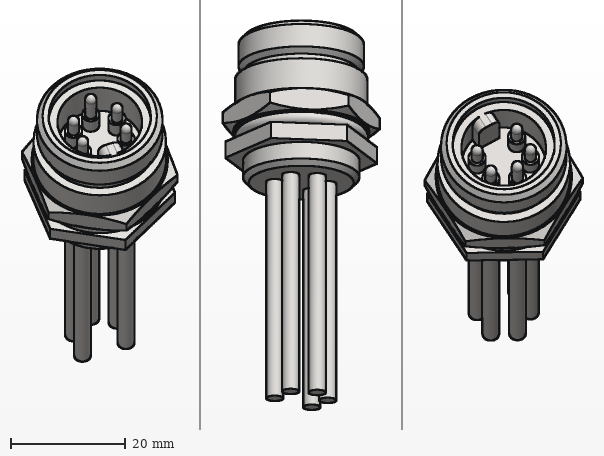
import cadquery as cq
import math

TOTAL_HEIGHT = 66.6
SHELL_HEIGHT = 26.6
WIRE_LENGTH = TOTAL_HEIGHT - SHELL_HEIGHT
TAIL_LENGTH = 4.05
FLANGE_THICKNESS = 3.0
SEAL_THICKNESS = 2.4
NUT_THICKNESS = 4.0
THREAD_ABOVE_NUT = 5.6
NECK_LENGTH = 1.4

FLANGE_BOTTOM = WIRE_LENGTH + TAIL_LENGTH
FLANGE_TOP = FLANGE_BOTTOM + FLANGE_THICKNESS
NUT_BOTTOM = FLANGE_TOP + SEAL_THICKNESS
NUT_TOP = NUT_BOTTOM + NUT_THICKNESS
THREAD_TOP = NUT_TOP + THREAD_ABOVE_NUT
RIM_BOTTOM = THREAD_TOP + NECK_LENGTH

TAIL_RADIUS = 10.2
THREAD_RADIUS = 11.6
NECK_RADIUS = 10.0
RIM_RADIUS = 11.0
EDGE_CHAMFER = 1.0
SEAL_OUTER_RADIUS = 11.7
SEAL_BEAD_RADIUS = SEAL_THICKNESS / 2
SEAL_CORE_RADIUS = SEAL_OUTER_RADIUS - SEAL_BEAD_RADIUS

HEXAGON_SIDES = 6
HALF_SIDE_ANGLE = 180 / HEXAGON_SIDES
FLANGE_ACROSS_FLATS = 23.2
NUT_ACROSS_FLATS = 24.0
NUT_FACE_RADIUS = 11.9
NUT_CHAMFER_ANGLE = 28.0

RECESS_RADIUS = 8.9
RECESS_DEPTH = 1.65
SOCKET_RADIUS = 7.4
SOCKET_DEPTH = 8.65
RECESS_FLOOR = TOTAL_HEIGHT - RECESS_DEPTH
SOCKET_FLOOR = TOTAL_HEIGHT - SOCKET_DEPTH

PLACE_COUNT = 6
KEY_ANGLE = -30.0
CONTACT_CIRCLE_RADIUS = 4.65
PIN_RADIUS = 1.0
PIN_TIP = RECESS_FLOOR
EARTH_PIN_EXTRA = 1.6
EARTH_PLACE = PLACE_COUNT // 2
WIRE_RADIUS = 3.0 / 2
COLLAR_RADIUS = WIRE_RADIUS
COLLAR_DEPTH = 5.5
COLLAR_TOP = TOTAL_HEIGHT - COLLAR_DEPTH

KEY_INNER_DISTANCE = 5.0
KEY_WIDTH = 4.2
KEY_EDGE_RADIUS = 1.45
KEY_HEIGHT = RECESS_FLOOR - SOCKET_FLOOR


def cylinder(radius, bottom, top):
    return cq.Workplane("XY").workplane(offset=bottom).circle(radius).extrude(top - bottom)


def across_corners(across_flats):
    return across_flats / math.cos(math.radians(HALF_SIDE_ANGLE))


def hexagon(across_flats, bottom, thickness):
    """Hexagon prism with flats facing +X and -X."""
    prism = cq.Workplane("XY").polygon(HEXAGON_SIDES, across_corners(across_flats)).extrude(thickness)
    return prism.rotate((0, 0, 0), (0, 0, 1), HALF_SIDE_ANGLE).translate((0, 0, bottom))


def make_shell_blank():
    """Turned outside of the shell, with the bulging sealing bead."""
    return (
        cq.Workplane("XZ")
        .moveTo(0, WIRE_LENGTH)
        .lineTo(TAIL_RADIUS - EDGE_CHAMFER, WIRE_LENGTH)
        .lineTo(TAIL_RADIUS, WIRE_LENGTH + EDGE_CHAMFER)
        .lineTo(TAIL_RADIUS, FLANGE_TOP)
        .lineTo(SEAL_CORE_RADIUS, FLANGE_TOP)
        .threePointArc(
            (SEAL_OUTER_RADIUS, FLANGE_TOP + SEAL_BEAD_RADIUS),
            (SEAL_CORE_RADIUS, NUT_BOTTOM),
        )
        .lineTo(THREAD_RADIUS, NUT_BOTTOM)
        .lineTo(THREAD_RADIUS, THREAD_TOP)
        .lineTo(NECK_RADIUS, THREAD_TOP)
        .lineTo(NECK_RADIUS, RIM_BOTTOM)
        .lineTo(RIM_RADIUS, RIM_BOTTOM + EDGE_CHAMFER)
        .lineTo(RIM_RADIUS, TOTAL_HEIGHT - EDGE_CHAMFER)
        .lineTo(RIM_RADIUS - EDGE_CHAMFER, TOTAL_HEIGHT)
        .lineTo(0, TOTAL_HEIGHT)
        .close()
        .revolve(360, (0, 0, 0), (0, 1, 0))
    )


def make_key():
    """Block on the socket wall with both upper edges rounded."""
    key = (
        cq.Workplane("XY")
        .box(SOCKET_RADIUS, KEY_WIDTH, KEY_HEIGHT, centered=(False, True, False))
        .edges("|X and >Z")
        .fillet(KEY_EDGE_RADIUS)
        .translate((KEY_INNER_DISTANCE, 0, SOCKET_FLOOR))
        .rotate((0, 0, 0), (0, 0, 1), KEY_ANGLE)
    )
    within_shell = cylinder((SOCKET_RADIUS + RECESS_RADIUS) / 2, SOCKET_FLOOR, RECESS_FLOOR)
    return key.intersect(within_shell)


def make_contact(angle, pin_tip):
    """Round-tipped pin, its collar and the wire below, on one axis."""
    pin = cylinder(PIN_RADIUS, SOCKET_FLOOR, pin_tip - PIN_RADIUS)
    tip = cq.Workplane("XY").sphere(PIN_RADIUS).translate((0, 0, pin_tip - PIN_RADIUS))
    collar = cylinder(COLLAR_RADIUS, SOCKET_FLOOR, COLLAR_TOP)
    wire = cylinder(WIRE_RADIUS, 0, WIRE_LENGTH)
    contact = collar.union(pin).union(tip).add(wire).combine()
    return contact.translate((CONTACT_CIRCLE_RADIUS, 0, 0)).rotate((0, 0, 0), (0, 0, 1), angle)


def make_connector():
    connector = make_shell_blank()
    connector = connector.union(hexagon(FLANGE_ACROSS_FLATS, FLANGE_BOTTOM, FLANGE_THICKNESS))
    connector = connector.cut(cylinder(RECESS_RADIUS, RECESS_FLOOR, TOTAL_HEIGHT))
    connector = connector.cut(cylinder(SOCKET_RADIUS, SOCKET_FLOOR, RECESS_FLOOR))
    connector = connector.union(make_key())
    for place in range(1, PLACE_COUNT):
        angle = KEY_ANGLE + place * 360 / PLACE_COUNT
        pin_tip = PIN_TIP
        if place == EARTH_PLACE:
            pin_tip = PIN_TIP + EARTH_PIN_EXTRA
        connector = connector.union(make_contact(angle, pin_tip))
    return connector


def make_nut():
    """Hexagon nut, its corners coned off on both faces, sitting on the thread."""
    corner_radius = across_corners(NUT_ACROSS_FLATS) / 2
    cone_drop = (corner_radius - NUT_FACE_RADIUS) * math.tan(math.radians(NUT_CHAMFER_ANGLE))
    cone_envelope = (
        cq.Workplane("XZ")
        .moveTo(0, NUT_BOTTOM)
        .lineTo(NUT_FACE_RADIUS, NUT_BOTTOM)
        .lineTo(corner_radius, NUT_BOTTOM + cone_drop)
        .lineTo(corner_radius, NUT_TOP - cone_drop)
        .lineTo(NUT_FACE_RADIUS, NUT_TOP)
        .lineTo(0, NUT_TOP)
        .close()
        .revolve(360, (0, 0, 0), (0, 1, 0))
    )
    nut = hexagon(NUT_ACROSS_FLATS, NUT_BOTTOM, NUT_THICKNESS).intersect(cone_envelope)
    return nut.cut(cylinder(THREAD_RADIUS, NUT_BOTTOM, NUT_TOP))


connector = make_connector()
nut = make_nut()

result = cq.Compound.makeCompound([connector.solids().val(), nut.solids().val()])